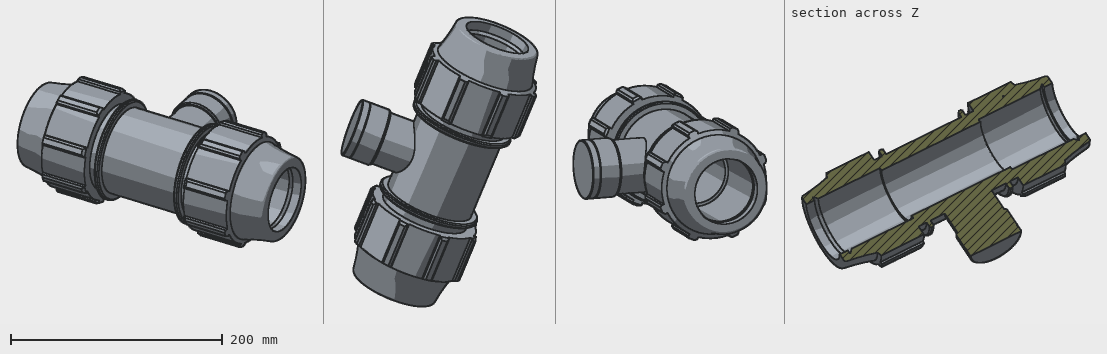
import cadquery as cq
import math

LENGTH = 268.0
DEPTH = 148.2
HEIGHT = 106.5

BODY_DIAMETER = 84.7
BORE_DIAMETER = 56.8
SOCKET_DIAMETER = 63.0

COLLAR_DIAMETER = 98.4
COLLAR_WIDTH = 4.8
COLLAR_CHAMFER = 1.3
COLLAR_INNER_FACE = 40.7

NUT_RADIUS = 52.5
NUT_START = 33.5
NUT_END = 80.0
MOUTH_RADIUS = 41.5
MOUTH_FILLET = 2.7
SLEEVE_MID = 15.8
SLEEVE_MID_RADIUS = 44.0
SLEEVE_END = 32.0
SLEEVE_END_RADIUS = 48.0

SOCKET_DEPTH = NUT_END
RELIEF_START = 9.0
RELIEF_END = 13.0
RELIEF_DEPTH = RELIEF_END - RELIEF_START

RIB_COUNT = 8
RIB_WIDTH = 9.6
RIB_TIP_WIDTH = 5.5
RIB_TIP_CHAMFER = 2.0
RIB_END_CHAMFER = 3.0
RIB_OVERLAP = 2.7
RIB_ROOT_RADIUS = NUT_RADIUS - RIB_OVERLAP
BEYOND_RIBS = 8.0
RIB_PITCH = 360 / RIB_COUNT
RIB_TILT = math.radians(RIB_PITCH / 2)
RIB_TIP_RADIUS = (HEIGHT / 2 - RIB_TIP_WIDTH / 2 * math.sin(RIB_TILT)) / math.cos(RIB_TILT)

BRANCH_END = DEPTH - HEIGHT / 2
NECK_DIAMETER = 51.5
HEAD_DIAMETER = 56.0
HEAD_START = 66.0
HEAD_CHAMFER_LENGTH = 2.0
HEAD_CHAMFER_DEPTH = 1.0
END_CHAMFER = 0.8
GROOVE_PLACE = 87.0
GROOVE_WIDTH = 0.8
GROOVE_DEPTH = 0.4


def make_sleeve():
    """Flared sleeve at the left-hand end, with a rounded mouth."""
    mouth = -LENGTH / 2
    return (
        cq.Workplane("XY")
        .moveTo(mouth, 0)
        .lineTo(mouth, MOUTH_RADIUS)
        .threePointArc((mouth + SLEEVE_MID, SLEEVE_MID_RADIUS), (mouth + SLEEVE_END, SLEEVE_END_RADIUS))
        .lineTo(mouth + SLEEVE_END, 0)
        .close()
        .revolve(360, (0, 0, 0), (1, 0, 0))
        .faces("<X")
        .edges()
        .fillet(MOUTH_FILLET)
    )


def make_nut():
    """Left-hand nut: a ribbed cylinder with one conical front face across barrel and ribs."""
    nut = pipe_cylinder(2 * NUT_RADIUS, SLEEVE_END - LENGTH / 2, NUT_END - LENGTH / 2)
    rib = make_rib()
    for i in range(RIB_COUNT):
        nut = nut.union(rib.rotate((0, 0, 0), (1, 0, 0), (i + 0.5) * RIB_PITCH))
    return nut.intersect(make_nut_envelope())


def make_rib():
    """One rib on the +Z side of the left-hand nut, bevelled along its tip and at its inner end."""
    start = SLEEVE_END - LENGTH / 2
    end = NUT_END - LENGTH / 2
    shoulder = RIB_TIP_RADIUS - RIB_TIP_CHAMFER
    side = RIB_WIDTH / 2
    tip = RIB_TIP_WIDTH / 2
    section = [
        (-side, RIB_ROOT_RADIUS),
        (side, RIB_ROOT_RADIUS),
        (side, shoulder),
        (tip, RIB_TIP_RADIUS),
        (-tip, RIB_TIP_RADIUS),
        (-side, shoulder),
    ]
    bar = cq.Workplane("YZ", origin=(start, 0, 0)).polyline(section).close().extrude(end - start)
    inner_bevel = (
        cq.Workplane("XZ")
        .moveTo(end, shoulder)
        .lineTo(end, RIB_TIP_RADIUS)
        .lineTo(end - RIB_END_CHAMFER, RIB_TIP_RADIUS)
        .close()
        .extrude(RIB_WIDTH, both=True)
    )
    return bar.cut(inner_bevel)


def make_nut_envelope():
    """Solid of revolution whose cone bounds the front of the nut, out past the rib tips."""
    flare = (NUT_START - SLEEVE_END) / (NUT_RADIUS - SLEEVE_END_RADIUS)
    outer = NUT_RADIUS + BEYOND_RIBS
    front = SLEEVE_END - LENGTH / 2
    outline = [
        (front, 0),
        (front, SLEEVE_END_RADIUS),
        (front + flare * (outer - SLEEVE_END_RADIUS), outer),
        (0, outer),
        (0, 0),
    ]
    return cq.Workplane("XY").polyline(outline).close().revolve(360, (0, 0, 0), (1, 0, 0))


def make_collar():
    """Left-hand collar with bevelled rims."""
    return (
        cq.Workplane("YZ", origin=(-COLLAR_INNER_FACE - COLLAR_WIDTH, 0, 0))
        .circle(COLLAR_DIAMETER / 2)
        .extrude(COLLAR_WIDTH)
        .edges()
        .chamfer(COLLAR_CHAMFER)
    )


def make_branch():
    """Branch neck with a wider, grooved head, as one turned outline."""
    neck = NECK_DIAMETER / 2
    head = HEAD_DIAMETER / 2
    groove_low = GROOVE_PLACE - GROOVE_WIDTH / 2
    groove_high = GROOVE_PLACE + GROOVE_WIDTH / 2
    outline = [
        (0, 0),
        (neck, 0),
        (neck, HEAD_START),
        (head - HEAD_CHAMFER_DEPTH, HEAD_START),
        (head, HEAD_START + HEAD_CHAMFER_LENGTH),
        (head, groove_low),
        (head - GROOVE_DEPTH, groove_low),
        (head - GROOVE_DEPTH, groove_high),
        (head, groove_high),
        (head, BRANCH_END - END_CHAMFER),
        (head - END_CHAMFER, BRANCH_END),
        (0, BRANCH_END),
    ]
    return cq.Workplane("XY").polyline(outline).close().revolve(360, (0, 0, 0), (0, 1, 0))


def make_socket():
    """Cutter for the left-hand socket, with a tapered relief groove behind the lip of its mouth."""
    mouth = -LENGTH / 2
    radius = SOCKET_DIAMETER / 2
    outline = [
        (mouth, 0),
        (mouth, radius),
        (mouth + RELIEF_START, radius),
        (mouth + RELIEF_START, radius + RELIEF_DEPTH),
        (mouth + RELIEF_END, radius),
        (mouth + SOCKET_DEPTH, radius),
        (mouth + SOCKET_DEPTH, 0),
    ]
    return cq.Workplane("XY").polyline(outline).close().revolve(360, (0, 0, 0), (1, 0, 0))


def pipe_cylinder(diameter, start, end):
    """Solid cylinder on the run axis between two places along X."""
    return cq.Workplane("YZ", origin=(start, 0, 0)).circle(diameter / 2).extrude(end - start)


half = LENGTH / 2
nut_inner_face = half - NUT_END
left_end = make_sleeve().union(make_nut()).union(make_collar())
socket = make_socket()

result = (
    pipe_cylinder(BODY_DIAMETER, -nut_inner_face, nut_inner_face)
    .union(make_branch())
    .union(left_end)
    .union(left_end.mirror("YZ"))
    .cut(pipe_cylinder(BORE_DIAMETER, -half, half))
    .cut(socket)
    .cut(socket.mirror("YZ"))
)